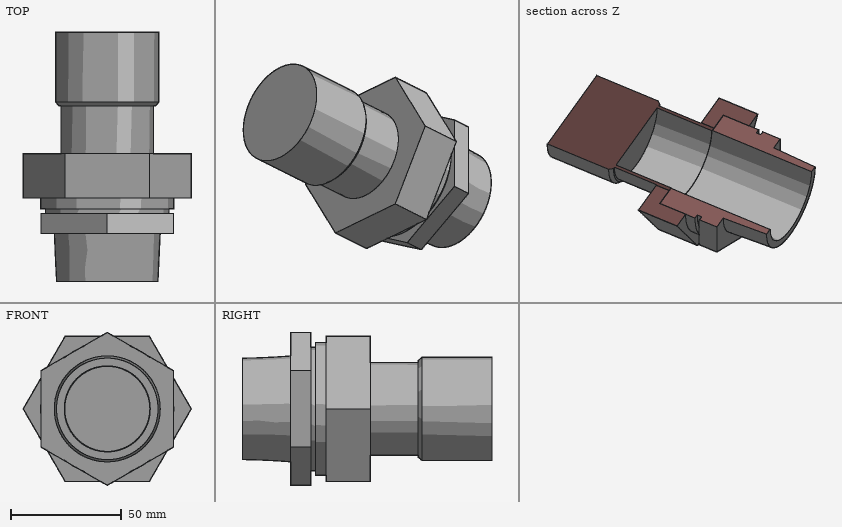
import cadquery as cq
import math

total_length = 113.0
hex_start = 21.8
hex_end = 31.0
collar_start = 33.0
nut_start = 37.9
nut_end = 58.0
tail_start = 51.4
chamfer_start = 79.5
chamfer_end = 81.2

adapter_hex_flats = 60.0
taper_front_diameter = 46.0
taper_back_diameter = 48.0
groove_diameter = 56.0
collar_diameter = 60.3
adapter_bore_diameter = 39.0

nut_corners = 76.2

tail_diameter = 42.0
tail_bore_diameter = 38.5
socket_diameter = 46.8
chamfer_width = 1.5

hexagon_sides = 6
corners_per_flat = 1 / math.cos(math.pi / hexagon_sides)


def section_at(y):
    """Workplane across the axis at station y, with its normal along +Y."""
    return cq.Workplane("XZ", origin=(0, y, 0)).transformed(rotate=(180, 0, 0))


def cylinder(diameter, start, end):
    return section_at(start).circle(diameter / 2).extrude(end - start)


def hexagon(corner_diameter, start, end):
    """Hexagonal prism with two corners on the X axis."""
    return section_at(start).polygon(hexagon_sides, corner_diameter).extrude(end - start)


def turned(points):
    """Solid of revolution about Y from (radius, y) points."""
    return cq.Workplane("XY").polyline(points).close().revolve(360, (0, 0), (0, 1))


def make_adapter():
    taper = turned([
        (0, 0),
        (taper_front_diameter / 2, 0),
        (taper_back_diameter / 2, hex_start),
        (0, hex_start),
    ])
    wrench_hex = hexagon(adapter_hex_flats * corners_per_flat, hex_start, hex_end)
    wrench_hex = wrench_hex.rotate((0, 0, 0), (0, 1, 0), 90)
    groove = cylinder(groove_diameter, hex_end, collar_start)
    collar = cylinder(collar_diameter, collar_start, tail_start)
    bore = cylinder(adapter_bore_diameter, 0, tail_start)
    return taper.union(wrench_hex).union(groove).union(collar).cut(bore)


def make_nut():
    body = hexagon(nut_corners, nut_start, nut_end)
    collar_recess = cylinder(collar_diameter, nut_start, tail_start)
    tail_hole = cylinder(tail_diameter, tail_start, nut_end)
    return body.cut(collar_recess).cut(tail_hole)


def make_tail():
    outside = turned([
        (0, tail_start),
        (tail_diameter / 2, tail_start),
        (tail_diameter / 2, chamfer_start),
        (socket_diameter / 2 - chamfer_width, chamfer_start),
        (socket_diameter / 2, chamfer_end),
        (socket_diameter / 2, total_length),
        (0, total_length),
    ])
    bore = cylinder(tail_bore_diameter, tail_start, chamfer_start)
    return outside.cut(bore)


adapter = make_adapter()
nut = make_nut()
tail = make_tail()

result = cq.Compound.makeCompound([adapter.val(), nut.val(), tail.val()])